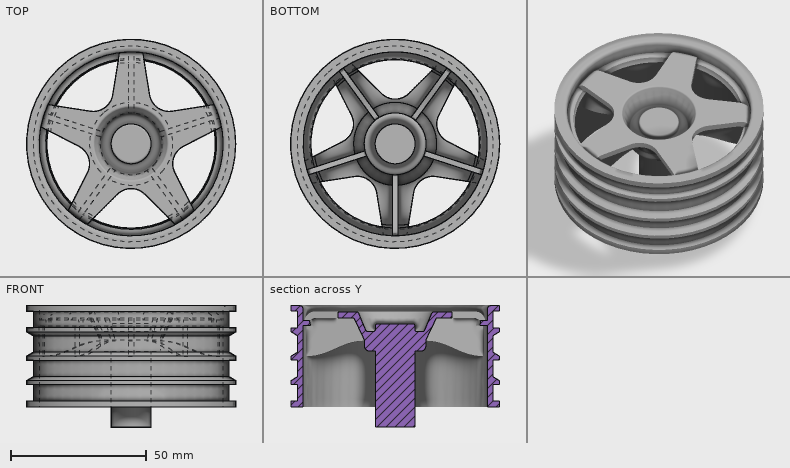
import cadquery as cq
import math


flange_radius = 38.55
groove_radius = 36.1
flange_width = 2.25
groove_width = 6.0
rib_width = 3.0
rib_bevel_width = 1.5
rib_count = 3
rim_height = 2 * flange_width + rib_count * rib_width + (rib_count + 1) * groove_width

bore_radius = 33.9
lip_round = 1.5
ledge_depth = 5.5
ledge_radius = 31.5
ledge_tip_radius = 31.0
ledge_tip_depth = 7.6

spoke_count = 5
first_spoke_angle = 90.0
spoke_face_depth = 2.4
spoke_thickness = 2.3
spoke_flat_radius = 30.0
spoke_half_width = 4.9
spoke_taper_angle = 9.2
window_round = 7.2

web_thickness = 2.0
web_hub_depth = 13.1
web_rim_depth = 18.8

hub_mouth_radius = 14.0
hub_mouth_round = 0.8
hub_floor_radius = 10.2
hub_floor_depth = 9.6
hub_floor_round = 0.8
hub_top_radius = 15.3
hub_radius = 11.4
hub_cone_depth = 12.8
hub_bottom_depth = 17.0
hub_bottom_round = 2.0

axle_radius = 7.35
axle_top_depth = 6.75
axle_top_round = 0.75
axle_base_round = 0.7
axle_overhang = 7.5

ledge_z = rim_height - ledge_depth
ledge_tip_z = rim_height - ledge_tip_depth
spoke_face_z = rim_height - spoke_face_depth
spoke_back_z = spoke_face_z - spoke_thickness
hub_floor_z = rim_height - hub_floor_depth
hub_cone_z = rim_height - hub_cone_depth
hub_bottom_z = rim_height - hub_bottom_depth
axle_top_z = rim_height - axle_top_depth


def quarter_point(center_x, center_z, radius):
    """Middle of a circle's outer upper quarter in the profile plane."""
    offset = radius * math.sqrt(0.5)
    return (center_x + offset, center_z + offset)


def revolve(profile):
    """Turn a closed (radius, Z) profile about the Z axis."""
    return profile.close().revolve(360, (0, 0, 0), (0, 1, 0))


def ring(inner_radius, outer_radius, bottom_z, height):
    plane = cq.Workplane("XY").workplane(offset=bottom_z)
    return plane.circle(outer_radius).circle(inner_radius).extrude(height)


def raised_rib(bottom_z, bevel_below):
    """Rib around the rim, bevelled on its lower or its upper side."""
    top_z = bottom_z + rib_width
    edge_bottom_z = bottom_z + rib_bevel_width if bevel_below else bottom_z
    edge_top_z = top_z if bevel_below else top_z - rib_bevel_width
    profile = (
        cq.Workplane("XZ")
        .moveTo(bore_radius, bottom_z)
        .lineTo(groove_radius, bottom_z)
        .lineTo(flange_radius, edge_bottom_z)
        .lineTo(flange_radius, edge_top_z)
        .lineTo(groove_radius, top_z)
        .lineTo(bore_radius, top_z)
    )
    return revolve(profile)


def rim_ledge():
    """Inner ledge whose hollowed edge reaches inward to a thin tip."""
    reach = ledge_radius - ledge_tip_radius
    drop = ledge_z - ledge_tip_z
    hollow_radius = (reach**2 + drop**2) / (2 * reach)
    half_angle = math.asin(drop / hollow_radius) / 2
    hollow_middle = (
        ledge_radius - hollow_radius * (1 - math.cos(half_angle)),
        ledge_z - hollow_radius * math.sin(half_angle),
    )
    profile = (
        cq.Workplane("XZ")
        .moveTo(groove_radius, ledge_z)
        .lineTo(ledge_radius, ledge_z)
        .threePointArc(hollow_middle, (ledge_tip_radius, ledge_tip_z))
        .lineTo(groove_radius, ledge_tip_z)
    )
    return revolve(profile)


def make_rim():
    rim = ring(bore_radius, groove_radius, 0, rim_height)
    for bottom_z in (0, rim_height - flange_width):
        rim = rim.union(ring(bore_radius, flange_radius, bottom_z, flange_width))
    for index in range(rib_count):
        bottom_z = flange_width + groove_width + index * (rib_width + groove_width)
        is_top_rib = index == rib_count - 1
        rim = rim.union(raised_rib(bottom_z, bevel_below=is_top_rib))
    inner_edge = cq.selectors.RadiusNthSelector(0)
    rim = rim.faces(">Z").edges(inner_edge).fillet(lip_round)
    return rim.union(rim_ledge())


def spoke_window(angle):
    """Opening between two spokes, rounded where their sides meet."""
    half_gap = math.radians(180 / spoke_count)
    taper = math.radians(spoke_taper_angle)
    side_angle = half_gap + taper
    axis_half_width = spoke_half_width + spoke_flat_radius * math.tan(taper)
    corner_along_spoke = axis_half_width / (math.tan(half_gap) + math.tan(taper))
    corner_radius = corner_along_spoke / math.cos(half_gap)
    length = flange_radius
    half_width = length * math.tan(side_angle)
    return (
        cq.Workplane("XY")
        .workplane(offset=ledge_tip_z)
        .moveTo(corner_radius, 0)
        .lineTo(corner_radius + length, half_width)
        .lineTo(corner_radius + length, -half_width)
        .close()
        .extrude(spoke_face_z - ledge_tip_z)
        .edges("|Z and <X")
        .fillet(window_round)
        .rotate((0, 0, 0), (0, 0, 1), angle)
    )


def make_spokes():
    end_round = bore_radius - spoke_flat_radius
    arc_center_z = spoke_face_z - end_round
    profile = (
        cq.Workplane("XZ")
        .moveTo(0, spoke_face_z)
        .lineTo(spoke_flat_radius, spoke_face_z)
        .threePointArc(
            quarter_point(spoke_flat_radius, arc_center_z, end_round),
            (bore_radius, arc_center_z),
        )
        .lineTo(ledge_radius, ledge_z)
        .lineTo(spoke_flat_radius, spoke_back_z)
        .lineTo(0, spoke_back_z)
    )
    spokes = revolve(profile)
    spoke_step = 360 / spoke_count
    for index in range(spoke_count):
        spokes = spokes.cut(spoke_window(first_spoke_angle + (index + 0.5) * spoke_step))
    return spokes


def spoke_web(angle):
    """Upright web behind a spoke, from the hub out to the rim."""
    rim_overlap_radius = (bore_radius + groove_radius) / 2
    lower_edge_start = (hub_radius, rim_height - web_hub_depth)
    lower_edge_end = (bore_radius, rim_height - web_rim_depth)
    outward = (1, 0)
    return (
        cq.Workplane("XZ")
        .moveTo(axle_radius, hub_cone_z)
        .lineTo(*lower_edge_start)
        .spline([lower_edge_end], tangents=[outward, outward], includeCurrent=True)
        .lineTo(rim_overlap_radius, rim_height - web_rim_depth)
        .lineTo(rim_overlap_radius, ledge_z)
        .lineTo(ledge_radius, ledge_z)
        .lineTo(spoke_flat_radius, spoke_back_z)
        .lineTo(axle_radius, spoke_back_z)
        .close()
        .extrude(web_thickness / 2, both=True)
        .rotate((0, 0, 0), (0, 0, 1), angle)
    )


def make_hub():
    profile = (
        cq.Workplane("XZ")
        .moveTo(0, spoke_back_z)
        .lineTo(hub_top_radius, spoke_back_z)
        .lineTo(hub_radius, hub_cone_z)
        .lineTo(hub_radius, hub_bottom_z)
        .lineTo(0, hub_bottom_z)
    )
    return revolve(profile).faces("<Z").edges().fillet(hub_bottom_round)


def cut_hub_cup(wheel):
    mouth_radius = hub_mouth_radius - hub_mouth_round / 2
    profile = (
        cq.Workplane("XZ")
        .moveTo(0, spoke_face_z)
        .lineTo(mouth_radius, spoke_face_z)
        .lineTo(hub_floor_radius + hub_floor_round / 2, hub_floor_z)
        .lineTo(0, hub_floor_z)
    )
    cup = revolve(profile).faces("<Z").edges().fillet(hub_floor_round)
    wheel = wheel.cut(cup)
    mouth_zone = cq.selectors.BoxSelector(
        (-hub_mouth_radius, -hub_mouth_radius, spoke_face_z - hub_mouth_round / 2),
        (hub_mouth_radius, hub_mouth_radius, spoke_face_z + hub_mouth_round / 2),
        boundingbox=True,
    )
    return wheel.edges(mouth_zone).fillet(hub_mouth_round)


def make_axle():
    """Axle with a rounded top and a flared foot on the hub floor."""
    shaft = (
        cq.Workplane("XY")
        .workplane(offset=-axle_overhang)
        .circle(axle_radius)
        .extrude(axle_overhang + axle_top_z)
        .faces(">Z")
        .edges()
        .fillet(axle_top_round)
    )
    foot_radius = axle_radius + axle_base_round
    foot_top_z = hub_floor_z + axle_base_round
    bulge = axle_base_round * (1 - math.sqrt(0.5))
    profile = (
        cq.Workplane("XZ")
        .moveTo(0, hub_floor_z)
        .lineTo(foot_radius, hub_floor_z)
        .threePointArc(
            (axle_radius + bulge, hub_floor_z + bulge),
            (axle_radius, foot_top_z),
        )
        .lineTo(0, foot_top_z)
    )
    return shaft.union(revolve(profile))


wheel = make_rim().union(make_spokes()).union(make_hub())
for index in range(spoke_count):
    wheel = wheel.union(spoke_web(first_spoke_angle + index * 360 / spoke_count))
wheel = cut_hub_cup(wheel)
result = wheel.union(make_axle())